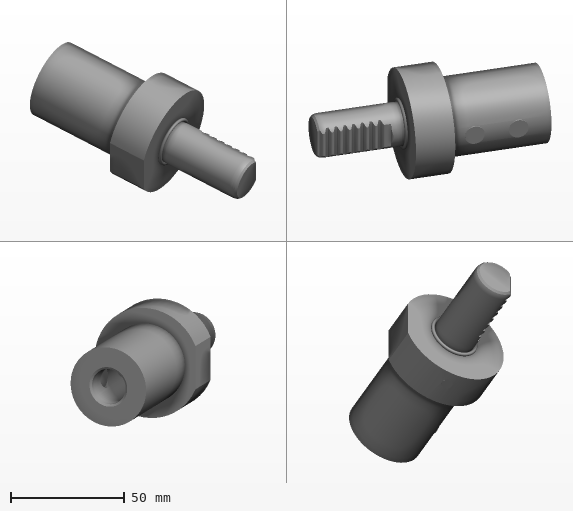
import cadquery as cq
import math


total_length = 104.0
flange_start = 46.0
flange_end = 64.0

body_radius = 18.0
flange_diameter = 50.0
flange_radius = flange_diameter / 2
flange_flat_offset = 23.0

bore_radius = 8.0
bore_depth = 52.0
bore_chamfer_width = 0.99
bore_chamfer_angle = 30.0
pilot_radius = 6.1
pilot_length = 2.1
drill_point_angle = 118.0

shank_radius = 10.0
relief_radius = 9.9
relief_length = 2.3
end_round_start = 3.4
end_chamfer_length = 0.9
end_chamfer_outer_radius = 9.6
end_face_radius = 8.7

tooth_flat_start = 70.8
tooth_flat_offset = 8.1
tooth_depth = 1.7
groove_count = 8
first_groove_x = 75.6
last_groove_x = 103.6
tooth_pitch = (last_groove_x - first_groove_x) / (groove_count - 1)
groove_root_width = 0.9
groove_flank_angle = 30.0
crest_fillet = 0.9
shoulder_fillet = 0.8

ring_section_radius = 0.8
ring_seat_depth = 0.4
ring_centre_radius = relief_radius + ring_section_radius
ring_seat_radius = ring_centre_radius + ring_section_radius

screw_radius = 4.5
screw_positions = [15.0, 35.0]

plug_radius = 2.5
plug_length = 5.2
plug_x = 57.4


def cylinder_x(radius, start, end):
    """Solid cylinder about the X axis."""
    return cq.Workplane("YZ", origin=(start, 0, 0)).circle(radius).extrude(end - start)


def make_shank():
    """Shank turned from its axis outline, with a relief beside the flange."""
    seat_floor = flange_end - ring_seat_depth
    relief_end = flange_end + relief_length
    round_start = total_length - end_round_start
    chamfer_start = total_length - end_chamfer_length
    return (
        cq.Workplane("XY")
        .moveTo(seat_floor, 0)
        .lineTo(seat_floor, relief_radius)
        .lineTo(relief_end, relief_radius)
        .lineTo(relief_end, shank_radius)
        .lineTo(round_start, shank_radius)
        .tangentArcPoint((chamfer_start, end_chamfer_outer_radius), relative=False)
        .lineTo(total_length, end_face_radius)
        .lineTo(total_length, 0)
        .close()
        .revolve(360, (0, 0, 0), (1, 0, 0))
    )


def make_tooth_cutter():
    """Prism along Z that leaves the flat and the row of tooth grooves with rounded crests."""
    root_y = tooth_flat_offset - tooth_depth
    clear_y = 2 * shank_radius
    half_root = groove_root_width / 2
    half_mouth = half_root + tooth_depth * math.tan(math.radians(groove_flank_angle))
    groove_centres = [first_groove_x + i * tooth_pitch for i in range(groove_count)]

    outline = [(tooth_flat_start, clear_y), (tooth_flat_start, tooth_flat_offset)]
    for centre in groove_centres:
        outline += [
            (centre - half_mouth, tooth_flat_offset),
            (centre - half_root, root_y),
            (centre + half_root, root_y),
            (centre + half_mouth, tooth_flat_offset),
        ]
    outline.append((last_groove_x + half_mouth, clear_y))

    def is_crest_edge(edge):
        centre = edge.Center()
        at_flat = abs(centre.y - tooth_flat_offset) < tooth_depth / 2
        return at_flat and tooth_flat_start + crest_fillet < centre.x < last_groove_x

    return (
        cq.Workplane("XY", origin=(0, 0, -shank_radius))
        .polyline(outline)
        .close()
        .extrude(2 * shank_radius)
        .edges("|Z")
        .filter(is_crest_edge)
        .fillet(crest_fillet)
    )


def make_shoulder_cutter():
    """Prism along Z that rounds the top of the shoulder where the tooth flat starts."""
    arc_start = tooth_flat_start - shoulder_fillet
    arc_end_y = shank_radius - shoulder_fillet
    return (
        cq.Workplane("XY", origin=(0, 0, -shank_radius))
        .moveTo(arc_start, shank_radius)
        .radiusArc((tooth_flat_start, arc_end_y), shoulder_fillet)
        .lineTo(tooth_flat_start, shank_radius)
        .close()
        .extrude(2 * shank_radius)
    )


def make_bore():
    """Chamfered bore, narrower pilot hole and drill point."""
    chamfer_length = bore_chamfer_width * math.tan(math.radians(bore_chamfer_angle))
    pilot_end = bore_depth + pilot_length
    point_end = pilot_end + pilot_radius / math.tan(math.radians(drill_point_angle / 2))
    outline = [
        (0, 0),
        (0, bore_radius + bore_chamfer_width),
        (chamfer_length, bore_radius),
        (bore_depth, bore_radius),
        (bore_depth, pilot_radius),
        (pilot_end, pilot_radius),
        (point_end, 0),
    ]
    return cq.Workplane("XY").polyline(outline).close().revolve(360, (0, 0, 0), (1, 0, 0))


def screw_cylinder(x, length):
    """Cylinder along Y that starts at the top of the body and runs inwards."""
    return cq.Workplane("XZ", origin=(x, body_radius, 0)).circle(screw_radius).extrude(length)


def make_screw(x):
    """Set screw whose tip ends level with the bore wall."""
    return screw_cylinder(x, body_radius - bore_radius)


def make_plug():
    """Plug along Z, flush with the bottom of the flange."""
    return cq.Workplane("XY", origin=(plug_x, 0, -flange_radius)).circle(plug_radius).extrude(plug_length)


def make_ring():
    """O-ring resting on the floor of its seat."""
    ring_x = flange_end - ring_seat_depth + ring_section_radius
    centre = cq.Vector(ring_x, 0, 0)
    axis = cq.Vector(1, 0, 0)
    return cq.Workplane(cq.Solid.makeTorus(ring_centre_radius, ring_section_radius, centre, axis))


def make_flange():
    """Round flange with a flat on -Y and the O-ring seat in its +X face."""
    flange = cylinder_x(flange_radius, flange_start, flange_end)
    flat_cutter = (
        cq.Workplane("XY")
        .box(total_length, flange_radius, flange_diameter, centered=(False, False, True))
        .translate((0, -flange_flat_offset - flange_radius, 0))
    )
    ring_seat = cylinder_x(ring_seat_radius, flange_end - ring_seat_depth, flange_end)
    return flange.cut(flat_cutter).cut(ring_seat)


def make_housing():
    """Body, flange and shank in one piece, with the holes for the screws and the plug."""
    body = cylinder_x(body_radius, 0, flange_start)
    shank = make_shank().cut(make_tooth_cutter()).cut(make_shoulder_cutter())
    housing = body.union(make_flange()).union(shank).cut(make_bore()).cut(make_plug())
    for x in screw_positions:
        housing = housing.cut(screw_cylinder(x, body_radius))
    return housing


housing = make_housing()
o_ring = make_ring()
screws = [make_screw(x) for x in screw_positions]
plug = make_plug()

result = cq.Compound.makeCompound(
    [
        housing.val(),
        o_ring.val(),
        *[screw.val() for screw in screws],
        plug.val(),
    ]
)